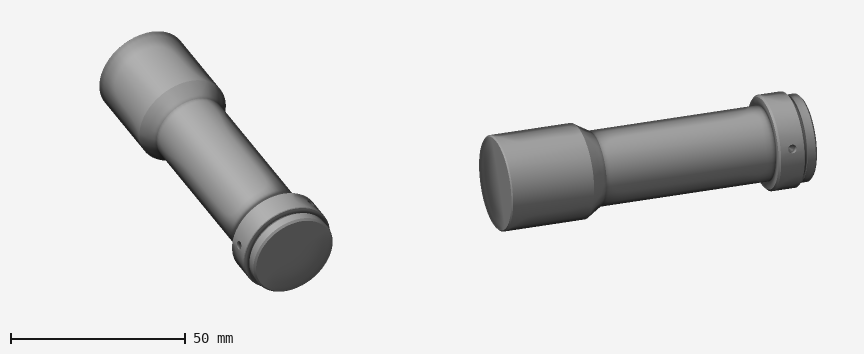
import cadquery as cq
import math

total_length = 93.6
head_end = 25.1
taper_end = 29.95
collar_start = 81.5
collar_end = 89.4
ring_start = 90.5

head_radius = 28.0 / 2
tube_radius = 11.0
collar_radius = head_radius
groove_radius = 12.1
ring_radius = 12.8

head_chamfer = 0.4
collar_front_chamfer = 0.6
collar_rear_chamfer = 0.2
ring_rear_chamfer = 0.6

hole_count = 3
first_hole_angle = 46.0
hole_diameter = 2.5
hole_depth = 2.3
drill_tip_angle = 90.0
hole_x = 85.6


def turned_body():
    """Solid of revolution about the X axis."""
    profile = [
        (0, 0),
        (0, head_radius - head_chamfer),
        (head_chamfer, head_radius),
        (head_end, head_radius),
        (taper_end, tube_radius),
        (collar_start, tube_radius),
        (collar_start, collar_radius - collar_front_chamfer),
        (collar_start + collar_front_chamfer, collar_radius),
        (collar_end - collar_rear_chamfer, collar_radius),
        (collar_end, collar_radius - collar_rear_chamfer),
        (collar_end, groove_radius),
        (ring_start, groove_radius),
        (ring_start, ring_radius),
        (total_length - ring_rear_chamfer, ring_radius),
        (total_length, ring_radius - ring_rear_chamfer),
        (total_length, 0),
    ]
    return cq.Workplane("XY").polyline(profile).close().revolve(360, (0, 0, 0), (1, 0, 0))


def screw_hole(angle):
    """Blind hole with a conical drill tip, pointing at the X axis."""
    hole_radius = hole_diameter / 2
    floor = collar_radius - hole_depth
    tip = floor - hole_radius / math.tan(math.radians(drill_tip_angle / 2))
    mouth = collar_radius + hole_diameter
    half_section = [
        (hole_x, tip),
        (hole_x + hole_radius, floor),
        (hole_x + hole_radius, mouth),
        (hole_x, mouth),
    ]
    cutter = cq.Workplane("XY").polyline(half_section).close()
    cutter = cutter.revolve(360, (hole_x, 0, 0), (hole_x, 1, 0))
    return cutter.rotate((0, 0, 0), (1, 0, 0), angle)


result = turned_body()
for index in range(hole_count):
    result = result.cut(screw_hole(first_hole_angle + index * 360 / hole_count))